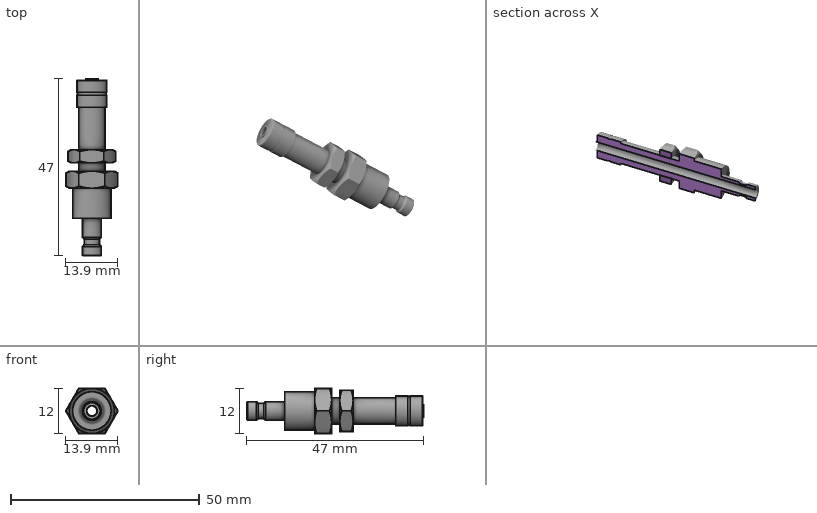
import cadquery as cq
import math

total_length = 47.0
front_y = -total_length / 2
bore_radius = 1.35

rod_radius = 2.5
rod_length = 10.0
tip_chamfer_length = 0.2
tip_chamfer_depth = 0.3
groove_radius = 2.05
groove_start = 2.5
groove_end = 5.0
groove_slope_length = 0.5

sleeve_radius = 5.1
sleeve_length = 8.0
hex_start = rod_length + sleeve_length
hex_thickness = 4.5
hex_across_flats = 12.0
shank_radius = 3.5

collar_radius = 4.0
collar_start = 39.5
collar_chamfer = 0.15
collar_groove_radius = 3.85
collar_groove_start = 42.7
collar_groove_end = 43.4
spigot_radius = 1.65
spigot_length = 0.35
collar_end = total_length - spigot_length

nut_start = 24.7
nut_thickness = 3.5
nut_across_flats = 11.0

corner_chamfer_angle = math.radians(30)


def cylinder(radius, start, end):
    """Cylinder along Y between two distances from the rod tip."""
    plane = cq.Workplane("XZ", origin=(0, front_y + start, 0))
    return plane.circle(radius).extrude(start - end)


def turned(profile):
    """Revolve (radius, distance from the rod tip) points about the Y axis."""
    points = [(radius, front_y + distance) for radius, distance in profile]
    return cq.Workplane("XY").polyline(points).close().revolve(360, (0, 0), (0, 1))


def chamfered_hexagon(across_flats, start, thickness):
    """Hexagon with corners on the X axis, cut conically at both ends."""
    flat_radius = across_flats / 2
    corner_radius = flat_radius / math.cos(math.pi / 6)
    chamfer_length = (corner_radius - flat_radius) * math.tan(corner_chamfer_angle)
    end = start + thickness
    plane = cq.Workplane("XZ", origin=(0, front_y + start, 0))
    prism = plane.polygon(6, 2 * corner_radius).extrude(-thickness)
    envelope = turned([
        (0, start),
        (flat_radius, start),
        (corner_radius, start + chamfer_length),
        (corner_radius, end - chamfer_length),
        (flat_radius, end),
        (0, end),
    ])
    return prism.intersect(envelope)


def make_plunger_body():
    """Rod, sleeve, fixed hexagon, shank and collar, bored through."""
    turned_body = turned([
        (0, 0),
        (rod_radius - tip_chamfer_depth, 0),
        (rod_radius, tip_chamfer_length),
        (rod_radius, groove_start),
        (groove_radius, groove_start + groove_slope_length),
        (groove_radius, groove_end - groove_slope_length),
        (rod_radius, groove_end),
        (rod_radius, rod_length),
        (sleeve_radius, rod_length),
        (sleeve_radius, hex_start),
        (shank_radius, hex_start),
        (shank_radius, collar_start),
        (collar_radius, collar_start),
        (collar_radius, collar_groove_start),
        (collar_groove_radius, collar_groove_start),
        (collar_groove_radius, collar_groove_end),
        (collar_radius, collar_groove_end),
        (collar_radius, collar_end - collar_chamfer),
        (collar_radius - collar_chamfer, collar_end),
        (spigot_radius, collar_end),
        (spigot_radius, total_length),
        (0, total_length),
    ])
    fixed_hexagon = chamfered_hexagon(hex_across_flats, hex_start, hex_thickness)
    bore = cylinder(bore_radius, 0, total_length)
    return turned_body.union(fixed_hexagon).cut(bore)


def make_locknut():
    """Hexagon nut whose hole fits the shank."""
    blank = chamfered_hexagon(nut_across_flats, nut_start, nut_thickness)
    hole = cylinder(shank_radius, nut_start, nut_start + nut_thickness)
    return blank.cut(hole)


plunger_body = make_plunger_body()
locknut = make_locknut()

result = cq.Compound.makeCompound([plunger_body.val(), locknut.val()])